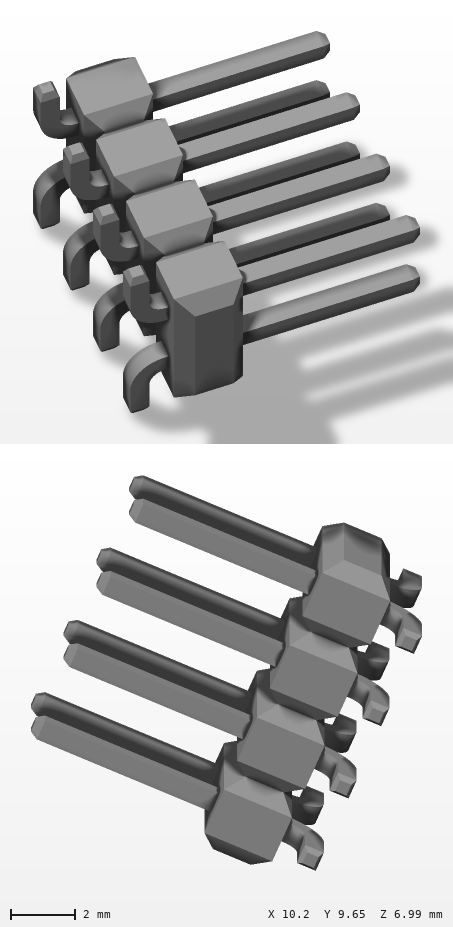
import cadquery as cq
import math


PITCH = 2.54
COLUMNS = 4
BODY_DEPTH = 2.286
BODY_CHAMFER = 0.508
PIN_WIDTH = 0.635
PIN_REACH = 6.096
TAIL_REACH = 1.27
TAIL_SPAN = 6.99
BEND_INNER_RADIUS = 0.508
TIP_LENGTH = 0.254
TIP_INSET = 0.127

BODY_HEIGHT = 2 * PITCH
BODY_FRONT = -BODY_DEPTH / 2
BODY_BACK = BODY_DEPTH / 2
ROW_Z = PITCH / 2
PIN_BOTTOM = ROW_Z - PIN_WIDTH / 2
PIN_TOP = ROW_Z + PIN_WIDTH / 2
BEND_OUTER_RADIUS = BEND_INNER_RADIUS + PIN_WIDTH
TAIL_FRONT = BODY_FRONT - TAIL_REACH
TAIL_BACK = TAIL_FRONT + PIN_WIDTH
TAIL_CENTER_Y = TAIL_FRONT + PIN_WIDTH / 2
BEND_Y = TAIL_FRONT + BEND_OUTER_RADIUS
BEND_Z = PIN_BOTTOM + BEND_OUTER_RADIUS
TIP_BASE_Y = BODY_BACK + PIN_REACH - TIP_LENGTH
TIP_BASE_Z = TAIL_SPAN / 2 - TIP_LENGTH
TIP_TAPER = math.degrees(math.atan2(TIP_INSET, TIP_LENGTH))


def housing_block():
    """One housing block, bevelled all around its two X sides."""
    block = cq.Workplane("XY").box(PITCH, BODY_DEPTH, BODY_HEIGHT)
    return block.faces("<X or >X").edges().chamfer(BODY_CHAMFER)


def pin_tip(center, direction):
    """A tapered square tip whose base sits at center and points along direction."""
    base = cq.Plane(origin=center, xDir=(1, 0, 0), normal=direction)
    return cq.Workplane(base).rect(PIN_WIDTH, PIN_WIDTH).extrude(TIP_LENGTH, taper=TIP_TAPER)


def upper_pin():
    """A pin of the upper row: straight along +Y, with a tail bent up to +Z."""
    diagonal = math.sqrt(0.5)
    inner_mid = (BEND_Y - BEND_INNER_RADIUS * diagonal, BEND_Z - BEND_INNER_RADIUS * diagonal)
    outer_mid = (BEND_Y - BEND_OUTER_RADIUS * diagonal, BEND_Z - BEND_OUTER_RADIUS * diagonal)
    shank = (
        cq.Workplane("YZ")
        .moveTo(TIP_BASE_Y, PIN_BOTTOM)
        .lineTo(TIP_BASE_Y, PIN_TOP)
        .lineTo(BEND_Y, PIN_TOP)
        .threePointArc(inner_mid, (TAIL_BACK, BEND_Z))
        .lineTo(TAIL_BACK, TIP_BASE_Z)
        .lineTo(TAIL_FRONT, TIP_BASE_Z)
        .lineTo(TAIL_FRONT, BEND_Z)
        .threePointArc(outer_mid, (BEND_Y, PIN_BOTTOM))
        .close()
        .extrude(PIN_WIDTH / 2, both=True)
    )
    straight_tip = pin_tip((0, TIP_BASE_Y, ROW_Z), (0, 1, 0))
    tail_tip = pin_tip((0, TAIL_CENTER_Y, TIP_BASE_Z), (0, 0, 1))
    return shank.union(straight_tip).union(tail_tip)


def header_column():
    """A housing block with its upper pin and the mirrored lower pin."""
    pin = upper_pin()
    return housing_block().union(pin).union(pin.mirror("XY"))


def header():
    """All columns side by side, centred on X = 0 and joined at their flat X sides."""
    column = header_column()
    first_x = -(COLUMNS - 1) * PITCH / 2
    body = column.translate((first_x, 0, 0))
    for index in range(1, COLUMNS):
        body = body.union(column.translate((first_x + index * PITCH, 0, 0)))
    return body


result = header()